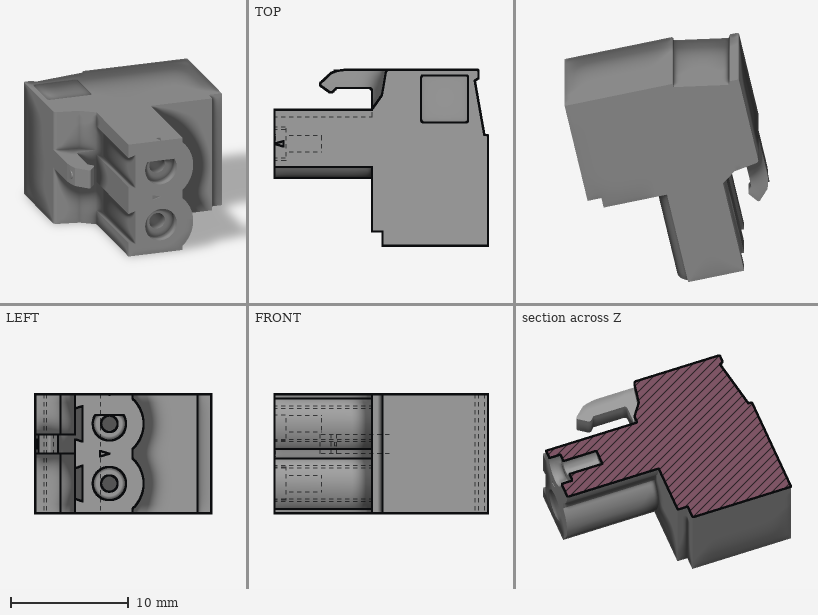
import cadquery as cq


LENGTH = 18.2
WIDTH = 15.0
HEIGHT = 10.16

POLE_COUNT = 2
PITCH = HEIGHT / POLE_COUNT
POLE_Y = 8.68
POLE_HEIGHTS = [PITCH * (pole + 0.5) for pole in range(POLE_COUNT)]

PLUG_LENGTH = 8.3
PLUG_BACK_Y = 11.6
PLUG_FLAT_Y = 6.72
BARREL_RADIUS = 2.91

SOCKET_RADIUS = 1.42
SOCKET_DEPTH = 1.0
SOCKET_FLAT_RISE = 0.76
BORE_RADIUS = 0.7
BORE_DEPTH = 4.0

GROOVE_DEPTH = 0.65
GROOVE_MOUTH = 2.62
GROOVE_FLOOR = 3.04

BODY_STEP_X = 9.2
BODY_STEP_Y = 1.2
SHOULDER_Y = 9.45
SHOULDER_INNER_X = 17.88
SHOULDER_RADIUS = 0.16
LIP_BOTTOM_X = 17.07
LIP_BOTTOM_Y = 14.05
LIP_TIP_X = 17.38
LIP_TIP_Y = 14.25
LIP_RADIUS = 0.15
CHEEK_KNEE_X = 9.16
CHEEK_KNEE_Y = 12.82
CHEEK_TOP_X = 9.53
CHEEK_RADIUS = 0.3

LATCH_BOTTOM = PITCH
LATCH_THICKNESS = 1.64
LATCH_UNDERSIDE_Y = 13.42
LATCH_ROOT_RADIUS = 0.24
LATCH_CROWN_X = 6.1
LATCH_RAMP_TOP = (4.84, 14.72)
LATCH_CROWN_MID = (5.4, 14.89)
HOOK_NOSE = (3.78, 13.73)
HOOK_POINT = (4.84, 12.96)
HOOK_HEEL_X = 5.29
HOOK_NOSE_RADIUS = 0.18
HOOK_POINT_RADIUS = 0.25
LATCH_EMBED = 1.0
LATCH_EMBED_X = CHEEK_TOP_X + LATCH_EMBED

RIB_X = 5.12
RIB_BACK_Y = 14.94
RIB_BOTTOM = 5.51
RIB_HEIGHT = 0.77
RIB_DEPTH = 0.5

ARROW_LENGTH = 0.78
ARROW_WIDTH = 0.46
ARROW_DEPTH = 0.1

PANEL_X = 14.5
PANEL_Y = 12.51
PANEL_SIZE = 4.0
PANEL_RADIUS = 0.2
PANEL_DEPTH = 0.1


def make_body():
    outline = [
        (PLUG_LENGTH, BODY_STEP_Y),
        (BODY_STEP_X, BODY_STEP_Y),
        (BODY_STEP_X, 0),
        (LENGTH, 0),
        (LENGTH, SHOULDER_Y),
        (SHOULDER_INNER_X, SHOULDER_Y),
        (LIP_BOTTOM_X, LIP_BOTTOM_Y),
        (LIP_TIP_X, LIP_TIP_Y),
        (LIP_TIP_X, WIDTH),
        (CHEEK_TOP_X, WIDTH),
        (CHEEK_KNEE_X, CHEEK_KNEE_Y),
        (PLUG_LENGTH, PLUG_BACK_Y),
    ]
    body = cq.Workplane("XY").polyline(outline).close().extrude(HEIGHT)
    rounded_corners = [
        (LENGTH, SHOULDER_Y, SHOULDER_RADIUS),
        (LIP_TIP_X, WIDTH, LIP_RADIUS),
        (CHEEK_TOP_X, WIDTH, CHEEK_RADIUS),
    ]
    for x, y, radius in rounded_corners:
        corner = cq.selectors.NearestToPointSelector((x, y, HEIGHT / 2))
        body = body.edges(corner).fillet(radius)
    return body


def make_plug():
    plug_width = PLUG_BACK_Y - PLUG_FLAT_Y
    plug = cq.Workplane("XY").box(PLUG_LENGTH, plug_width, HEIGHT, centered=False)
    plug = plug.translate((0, PLUG_FLAT_Y, 0))
    for z in POLE_HEIGHTS:
        plug = plug.union(cylinder_along_x(BARREL_RADIUS, PLUG_LENGTH, z))
    slab = cq.Workplane("XY").box(PLUG_LENGTH, PLUG_BACK_Y, HEIGHT, centered=False)
    return plug.intersect(slab)


def cylinder_along_x(radius, length, z):
    return cq.Workplane("YZ").center(POLE_Y, z).circle(radius).extrude(length)


def make_socket(z, has_flat):
    socket = cylinder_along_x(SOCKET_RADIUS, SOCKET_DEPTH, z)
    if has_flat:
        keep_height = SOCKET_RADIUS + SOCKET_FLAT_RISE
        keep = cq.Workplane("XY").box(2 * SOCKET_DEPTH, 2 * SOCKET_RADIUS, keep_height)
        socket = socket.intersect(keep.translate((0, POLE_Y, z + SOCKET_FLAT_RISE - keep_height / 2)))
    return socket.union(cylinder_along_x(BORE_RADIUS, BORE_DEPTH, z))


def make_groove(z):
    floor_y = PLUG_BACK_Y - GROOVE_DEPTH
    outline = [
        (PLUG_BACK_Y, z - GROOVE_MOUTH / 2),
        (PLUG_BACK_Y, z + GROOVE_MOUTH / 2),
        (floor_y, z + GROOVE_FLOOR / 2),
        (floor_y, z - GROOVE_FLOOR / 2),
    ]
    return cq.Workplane("YZ").polyline(outline).close().extrude(PLUG_LENGTH)


def make_latch():
    arm = (
        cq.Workplane("XY", origin=(0, 0, LATCH_BOTTOM))
        .moveTo(LATCH_EMBED_X, WIDTH)
        .lineTo(LATCH_CROWN_X, WIDTH)
        .threePointArc(LATCH_CROWN_MID, LATCH_RAMP_TOP)
        .lineTo(*HOOK_NOSE)
        .lineTo(*HOOK_POINT)
        .lineTo(HOOK_HEEL_X, LATCH_UNDERSIDE_Y)
        .lineTo(PLUG_LENGTH, LATCH_UNDERSIDE_Y)
        .lineTo(PLUG_LENGTH, PLUG_BACK_Y)
        .lineTo(LATCH_EMBED_X, PLUG_BACK_Y)
        .close()
        .extrude(LATCH_THICKNESS)
    )
    rounded_corners = [
        (*HOOK_NOSE, HOOK_NOSE_RADIUS),
        (*HOOK_POINT, HOOK_POINT_RADIUS),
        (PLUG_LENGTH, LATCH_UNDERSIDE_Y, LATCH_ROOT_RADIUS),
    ]
    middle = LATCH_BOTTOM + LATCH_THICKNESS / 2
    for x, y, radius in rounded_corners:
        corner = cq.selectors.NearestToPointSelector((x, y, middle))
        arm = arm.edges(corner).fillet(radius)
    return arm.union(make_grip_rib())


def make_grip_rib():
    end_radius = RIB_HEIGHT / 2
    middle = RIB_BOTTOM + end_radius
    return (
        cq.Workplane("XZ", origin=(0, RIB_BACK_Y, 0))
        .moveTo(LATCH_CROWN_X, RIB_BOTTOM)
        .lineTo(RIB_X + end_radius, RIB_BOTTOM)
        .threePointArc((RIB_X, middle), (RIB_X + end_radius, RIB_BOTTOM + RIB_HEIGHT))
        .lineTo(LATCH_CROWN_X, RIB_BOTTOM + RIB_HEIGHT)
        .close()
        .extrude(RIB_DEPTH)
    )


def make_top_arrow():
    outline = [
        (0, POLE_Y),
        (ARROW_LENGTH, POLE_Y - ARROW_WIDTH / 2),
        (ARROW_LENGTH, POLE_Y + ARROW_WIDTH / 2),
    ]
    return cq.Workplane("XY", origin=(0, 0, HEIGHT)).polyline(outline).close().extrude(-ARROW_DEPTH)


def make_end_arrow():
    outline = [
        (POLE_Y, PITCH),
        (POLE_Y + ARROW_LENGTH, PITCH - ARROW_WIDTH / 2),
        (POLE_Y + ARROW_LENGTH, PITCH + ARROW_WIDTH / 2),
    ]
    return cq.Workplane("YZ").polyline(outline).close().extrude(ARROW_DEPTH)


def make_panel():
    panel = cq.Workplane("XY").box(PANEL_SIZE, PANEL_SIZE, PANEL_DEPTH)
    panel = panel.edges("|Z").fillet(PANEL_RADIUS)
    return panel.translate((PANEL_X, PANEL_Y, HEIGHT - PANEL_DEPTH / 2))


result = make_body().union(make_plug()).union(make_latch())
for pole_z in POLE_HEIGHTS:
    is_top_pole = pole_z == POLE_HEIGHTS[-1]
    result = result.cut(make_socket(pole_z, is_top_pole))
    result = result.cut(make_groove(pole_z))
result = result.cut(make_top_arrow())
result = result.cut(make_end_arrow())
result = result.cut(make_panel())